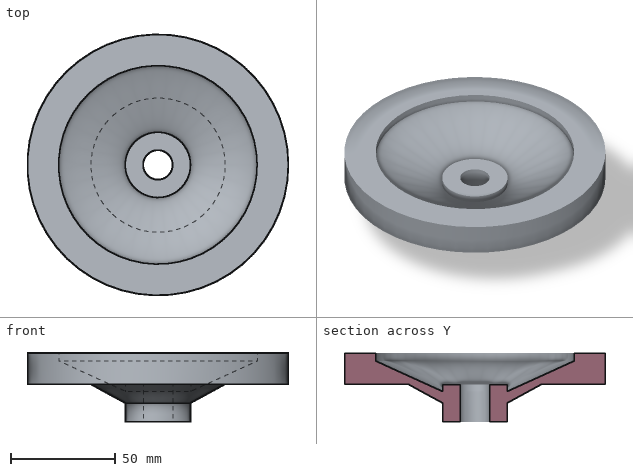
import cadquery as cq

wheel_diameter = 125.0
total_height = 33.0

rim_height = 15.0
rim_inner_diameter = 95.0
rim_lip_depth = 3.8

hub_diameter = 31.2
bore_diameter = 14.0
hub_top_z = 18.0

web_bottom_z = 9.0
web_top_z = 14.8
web_bottom_outer_radius = 32.1

wheel_radius = wheel_diameter / 2
rim_inner_radius = rim_inner_diameter / 2
hub_radius = hub_diameter / 2
bore_radius = bore_diameter / 2
rim_bottom_z = total_height - rim_height

profile = (
    cq.Workplane("XZ")
    .moveTo(bore_radius, 0)
    .lineTo(hub_radius, 0)
    .lineTo(hub_radius, web_bottom_z)
    .lineTo(web_bottom_outer_radius, rim_bottom_z)
    .lineTo(wheel_radius, rim_bottom_z)
    .lineTo(wheel_radius, total_height)
    .lineTo(rim_inner_radius, total_height)
    .lineTo(rim_inner_radius, total_height - rim_lip_depth)
    .lineTo(hub_radius, web_top_z)
    .lineTo(hub_radius, hub_top_z)
    .lineTo(bore_radius, hub_top_z)
    .close()
)

result = profile.revolve(360, (0, 0, 0), (0, 1, 0))